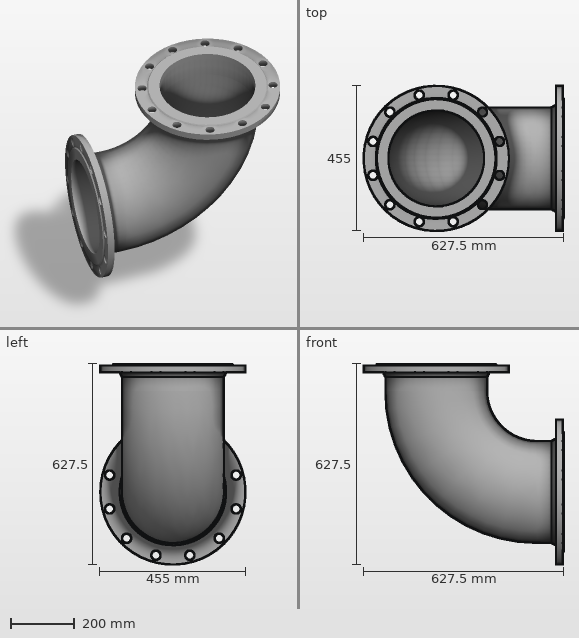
import cadquery as cq

overall_length = 627.5
bend_radius = 315.0
pipe_diameter = 319.5
bore_diameter = 300.0

flange_diameter = 455.0
flange_thickness = 22.0
raised_face_diameter = 371.0
raised_face_base_diameter = 378.5
raised_face_height = 4.0
neck_diameter = 334.0
neck_length = 14.5

bolt_count = 12
bolt_circle_diameter = 410.0
bolt_hole_diameter = 28.0

centre_to_face = overall_length - flange_diameter / 2
leg_length = centre_to_face - bend_radius
flange_back = raised_face_height + flange_thickness
neck_end = flange_back + neck_length


def leg(plane):
    """Straight flanged leg: the plane lies on the sealing face, its normal points out of the pipe."""
    profile = (
        cq.Workplane("XZ")
        .moveTo(bore_diameter / 2, 0)
        .lineTo(raised_face_diameter / 2, 0)
        .lineTo(raised_face_base_diameter / 2, -raised_face_height)
        .lineTo(flange_diameter / 2, -raised_face_height)
        .lineTo(flange_diameter / 2, -flange_back)
        .lineTo(neck_diameter / 2, -flange_back)
        .lineTo(pipe_diameter / 2, -neck_end)
        .lineTo(pipe_diameter / 2, -leg_length)
        .lineTo(bore_diameter / 2, -leg_length)
        .close()
    )
    body = profile.revolve(360, (0, 0, 0), (0, 1, 0))

    half_pitch = 360 / bolt_count / 2
    bolt_holes = (
        cq.Workplane("XY")
        .polarArray(bolt_circle_diameter / 2, half_pitch, 360, bolt_count)
        .circle(bolt_hole_diameter / 2)
        .extrude(-flange_back)
    )
    return cq.Workplane(body.cut(bolt_holes).val().moved(plane.location))


def bend():
    """Quarter-turn pipe joining the vertical leg to the horizontal leg."""
    return (
        cq.Workplane("XY", origin=(0, 0, bend_radius))
        .circle(pipe_diameter / 2)
        .circle(bore_diameter / 2)
        .revolve(90, (bend_radius, 0, 0), (bend_radius, -1, 0))
    )


top_face = cq.Plane(origin=(0, 0, centre_to_face), xDir=(1, 0, 0), normal=(0, 0, 1))
side_face = cq.Plane(origin=(centre_to_face, 0, 0), xDir=(0, 1, 0), normal=(1, 0, 0))

result = bend().union(leg(top_face)).union(leg(side_face))